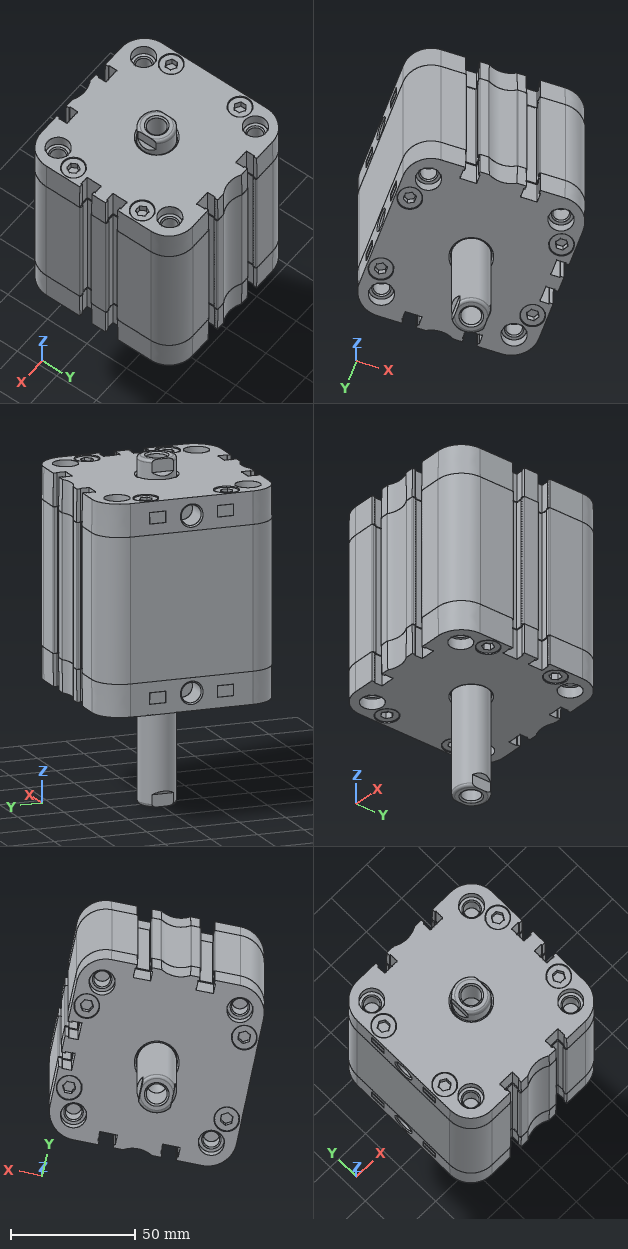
import cadquery as cq
import math

body_width = 77.0
body_height = 89.0
corner_radius = 12.0
cap_height = 13.9
cap_draft_angle = 0.5
barrel_height = body_height - 2 * cap_height
bore_diameter = 63.0

rod_length = 145.0
rod_diameter = 16.0
rod_top_overhang = 8.0
rod_bottom = body_height + rod_top_overhang - rod_length
rod_end_fillet = 1.3
wrench_flat_width = 13.0
wrench_flat_length = 5.4
rod_thread_diameter = 8.4
rod_thread_mouth = 9.9
rod_thread_depth = 17.4
drill_point_angle = 118.0

slot_mouth_width = 5.2
slot_inner_width = 6.2
slot_lip_depth = 1.7
slot_depth = 5.2
cap_slot_clearance = 0.5
front_slot_offset = 12.9
side_slot_offset = 6.5
groove_width = 12.2
groove_depth = 1.7
barrel_edge_fillet = 0.5

rod_recess_diameter = 16.5
rod_recess_mouth = 18.0
rod_recess_depth = 2.2
mount_hole_offset = 28.3
mount_counterbore_diameter = 10.5
mount_counterbore_depth = 5.0
mount_hole_diameter = 6.7
mount_hole_mouth = 7.8
screw_x = 32.3
screw_y = 17.4
screw_recess_diameter = 10.3
screw_head_diameter = 9.9
screw_recess_depth = 5.0
screw_head_drop = 0.5
hex_across_flats = 4.6
hex_depth = 2.9
port_drop = 7.5
port_diameter = 8.5
port_mouth = 9.9
port_depth = 10.2
label_width = 7.0
label_height = 4.8
label_depth = 0.3
label_offset = 14.6
label_drop = 7.0

half_width = body_width / 2
SIGNS = (-1, 1)
overrun = 1.5


def rounded_block(height, draft_angle=0):
    """Square block standing on Z = 0, narrowing upward by the draft angle."""
    outline = cq.Sketch().rect(body_width, body_width).vertices().fillet(corner_radius)
    return cq.Workplane("XY").placeSketch(outline).extrude(height, taper=draft_angle)


def t_slot(height, clearance):
    """T-shaped slot cutter opening toward +Y on the face at half_width."""
    mouth = slot_mouth_width / 2 + clearance
    inner = slot_inner_width / 2 + clearance
    lip_y = half_width - slot_lip_depth
    floor_y = half_width - slot_depth - clearance
    outside_y = half_width + overrun
    return (
        cq.Workplane("XY")
        .polyline([
            (-mouth, outside_y), (-mouth, lip_y), (-inner, lip_y), (-inner, floor_y),
            (inner, floor_y), (inner, lip_y), (mouth, lip_y), (mouth, outside_y),
        ])
        .close()
        .extrude(height)
    )


def cut_outer_channels(block, height, clearance):
    """Cut the sensor slots and grooves that run the full height of a block."""
    slot = t_slot(height, clearance)
    for turn in (0, 180):
        for sign in SIGNS:
            front_slot = slot.translate((sign * front_slot_offset, 0, 0))
            block = block.cut(front_slot.rotate((0, 0, 0), (0, 0, 1), turn))
    for sign in SIGNS:
        side_slot = slot.translate((sign * side_slot_offset, 0, 0))
        block = block.cut(side_slot.rotate((0, 0, 0), (0, 0, 1), -90))
    groove_radius = ((groove_width / 2) ** 2 + groove_depth ** 2) / (2 * groove_depth)
    groove_axis_y = half_width - groove_depth + groove_radius
    for sign in SIGNS:
        groove = cq.Workplane("XY").center(0, sign * groove_axis_y).circle(groove_radius).extrude(height)
        block = block.cut(groove)
    return block


def cone_frustum(lower_diameter, upper_diameter, height):
    """Frustum standing on Z = 0."""
    return cq.Workplane(cq.Solid.makeCone(lower_diameter / 2, upper_diameter / 2, height))


def countersunk_drill(diameter, mouth_diameter, depth):
    """Flat-ended drill cutter pointing down from Z = 0 with a 45 degree mouth."""
    mouth_depth = (mouth_diameter - diameter) / 2
    drill = cq.Workplane("XY").circle(diameter / 2).extrude(-depth)
    mouth = cone_frustum(diameter, mouth_diameter, mouth_depth).translate((0, 0, -mouth_depth))
    return drill.union(mouth)


def make_barrel():
    barrel = cut_outer_channels(rounded_block(barrel_height), barrel_height, 0)
    slot_edges = [side * front_slot_offset + edge * slot_mouth_width / 2 for side in SIGNS for edge in SIGNS]
    groove_edges = [side * groove_width / 2 for side in SIGNS]
    front_points = [(x, side * half_width) for x in slot_edges + groove_edges for side in SIGNS]
    side_points = [
        (half_width, side * side_slot_offset + edge * slot_mouth_width / 2) for side in SIGNS for edge in SIGNS
    ]
    for x, y in front_points + side_points:
        edge_middle = cq.selectors.NearestToPointSelector((x, y, barrel_height / 2))
        barrel = barrel.edges(edge_middle).fillet(barrel_edge_fillet)
    bore = cq.Workplane("XY").circle(bore_diameter / 2).extrude(barrel_height)
    return barrel.cut(bore).translate((0, 0, cap_height))


def cut_rod_hole(cap):
    """Bore that fits the rod, with a slightly wider countersunk recess at the outer face."""
    rod_hole = cq.Workplane("XY").circle(rod_diameter / 2).extrude(cap_height)
    recess = countersunk_drill(rod_recess_diameter, rod_recess_mouth, rod_recess_depth)
    return cap.cut(rod_hole).cut(recess.translate((0, 0, cap_height)))


def cut_mounting_holes(cap):
    floor_z = cap_height - mount_counterbore_depth
    counterbore = (
        cq.Workplane("XY", origin=(0, 0, floor_z))
        .circle(mount_counterbore_diameter / 2)
        .extrude(mount_counterbore_depth)
    )
    thread = countersunk_drill(mount_hole_diameter, mount_hole_mouth, floor_z).translate((0, 0, floor_z))
    hole = counterbore.union(thread)
    for x_sign in SIGNS:
        for y_sign in SIGNS:
            cap = cap.cut(hole.translate((x_sign * mount_hole_offset, y_sign * mount_hole_offset, 0)))
    return cap


def cut_screw_heads(cap):
    """Model each cap screw head as a sunken disc with a hexagon socket."""
    head_top_z = cap_height - screw_head_drop
    ring = (
        cq.Workplane("XY", origin=(0, 0, cap_height))
        .circle(screw_recess_diameter / 2)
        .circle(screw_head_diameter / 2)
        .extrude(-screw_recess_depth)
    )
    drop = (
        cq.Workplane("XY", origin=(0, 0, cap_height))
        .circle(screw_head_diameter / 2)
        .extrude(-screw_head_drop)
    )
    hex_across_corners = hex_across_flats / math.cos(math.pi / 6)
    socket = cq.Workplane("XY", origin=(0, 0, head_top_z)).polygon(6, hex_across_corners).extrude(-hex_depth)
    for x_sign in SIGNS:
        socket_turn = 90 if x_sign < 0 else 0
        turned_socket = socket.rotate((0, 0, 0), (0, 0, 1), socket_turn)
        for y_sign in SIGNS:
            place = (x_sign * screw_x, y_sign * screw_y, 0)
            for cutter in (ring, drop, turned_socket):
                cap = cap.cut(cutter.translate(place))
    return cap


def cut_port(cap):
    port = countersunk_drill(port_diameter, port_mouth, port_depth)
    port = port.rotate((0, 0, 0), (0, 1, 0), -90)
    return cap.cut(port.translate((-half_width, 0, cap_height - port_drop)))


def cut_label_pockets(cap):
    for sign in SIGNS:
        pocket = cq.Workplane("XY").box(2 * label_depth, label_width, label_height)
        cap = cap.cut(pocket.translate((-half_width, sign * label_offset, cap_height - label_drop)))
    return cap


def make_cap():
    """End cap with its joint face at Z = 0 and its outer face upward."""
    cap = cut_outer_channels(rounded_block(cap_height, cap_draft_angle), cap_height, cap_slot_clearance)
    cap = cut_rod_hole(cap)
    cap = cut_mounting_holes(cap)
    cap = cut_screw_heads(cap)
    cap = cut_port(cap)
    return cut_label_pockets(cap)


def wrench_flat_cutter():
    """Cutter for the +X flat at the upper rod end, running out at 45 degrees below the flat."""
    flat_x = wrench_flat_width / 2
    outside_x = rod_diameter / 2 + overrun
    flat_z = -wrench_flat_length
    runout_z = flat_z - (outside_x - flat_x)
    return (
        cq.Workplane("XZ")
        .polyline([(flat_x, overrun), (flat_x, flat_z), (outside_x, runout_z), (outside_x, overrun)])
        .close()
        .extrude(rod_diameter / 2, both=True)
    )


def rod_thread_cutter():
    point_height = rod_thread_diameter / 2 / math.tan(math.radians(drill_point_angle / 2))
    point = cone_frustum(0, rod_thread_diameter, point_height)
    drill = countersunk_drill(rod_thread_diameter, rod_thread_mouth, rod_thread_depth)
    return drill.union(point.translate((0, 0, -rod_thread_depth - point_height)))


def make_rod():
    rod = cq.Workplane("XY").circle(rod_diameter / 2).extrude(rod_length)
    rod = rod.faces("<Z or >Z").edges().fillet(rod_end_fillet)
    flat = wrench_flat_cutter()
    end_cutters = [flat, flat.mirror("YZ"), rod_thread_cutter()]
    for cutter in end_cutters:
        rod = rod.cut(cutter.translate((0, 0, rod_length)))
        rod = rod.cut(cutter.mirror("XY"))
    return rod.translate((0, 0, rod_bottom))


barrel = make_barrel()
piston_rod = make_rod()
cap = make_cap()
caps = [
    cap.translate((0, 0, body_height - cap_height)),
    cap.rotate((0, 0, 0), (1, 0, 0), 180).translate((0, 0, cap_height)),
]

result = cq.Compound.makeCompound([barrel.val(), *[end_cap.val() for end_cap in caps], piston_rod.val()])